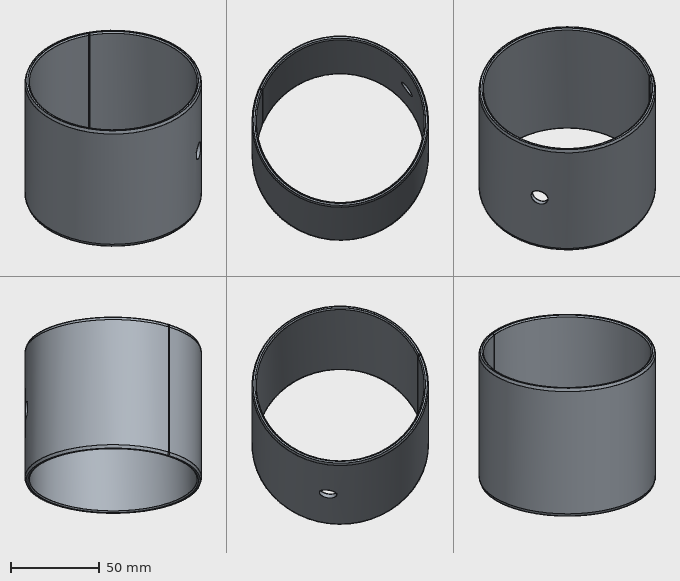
import cadquery as cq
import math

outer_diameter = 100.0
wall_thickness = 2.5
length = 80.0

outer_chamfer_length = 1.8
outer_chamfer_angle = 20.0
outer_chamfer_depth = outer_chamfer_length * math.tan(math.radians(outer_chamfer_angle))
inner_chamfer = 0.8

joint_gap_angle = 1.0

oil_hole_diameter = 10.0
oil_hole_from_joint = 120.0
oil_hole_angle = 180.0 - joint_gap_angle - oil_hole_from_joint

outer_radius = outer_diameter / 2
inner_radius = outer_radius - wall_thickness
half_length = length / 2


def make_split_sleeve():
    """Revolve the wall section from joint face to joint face, both ends chamfered."""
    outer_straight = half_length - outer_chamfer_length
    inner_straight = half_length - inner_chamfer
    outer_end_radius = outer_radius - outer_chamfer_depth
    inner_end_radius = inner_radius + inner_chamfer
    wall_section = (
        cq.Workplane("XZ")
        .moveTo(-outer_radius, -outer_straight)
        .lineTo(-outer_radius, outer_straight)
        .lineTo(-outer_end_radius, half_length)
        .lineTo(-inner_end_radius, half_length)
        .lineTo(-inner_radius, inner_straight)
        .lineTo(-inner_radius, -inner_straight)
        .lineTo(-inner_end_radius, -half_length)
        .lineTo(-outer_end_radius, -half_length)
        .close()
    )
    return wall_section.revolve(360 - joint_gap_angle, (0, 0, 0), (0, 1, 0))


def make_oil_hole_cutter():
    """Radial pin running from the axis out through the wall."""
    return (
        cq.Workplane("YZ")
        .circle(oil_hole_diameter / 2)
        .extrude(outer_diameter)
        .rotate((0, 0, 0), (0, 0, 1), oil_hole_angle)
    )


result = make_split_sleeve().cut(make_oil_hole_cutter())